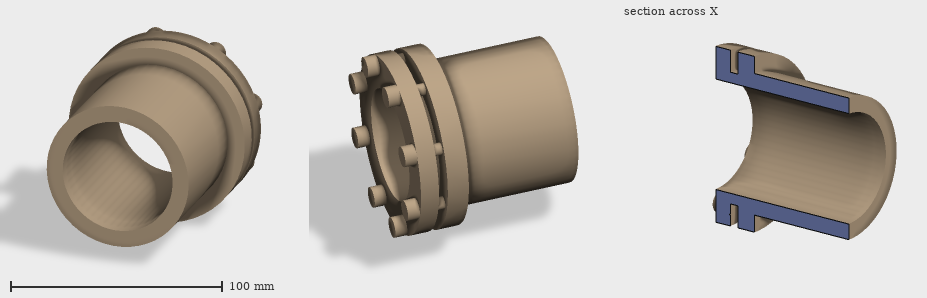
import cadquery as cq

total_length = 88.0
head_height = 6.0
cover_thickness = 9.1
gap_width = 4.4
flange_thickness = 10.6
pipe_length = total_length - head_height - cover_thickness - gap_width - flange_thickness

flange_diameter = 88.0
pipe_diameter = 70.9
gasket_diameter = 66.0
bore_diameter = 54.9

bolt_count = 8
bolt_circle_radius = 39.0
first_bolt_angle = 15.0
stud_diameter = 6.0
head_diameter = 10.0

pipe_end = -total_length / 2
flange_front = pipe_end + pipe_length
flange_back = flange_front + flange_thickness
cover_front = flange_back + gap_width
cover_back = cover_front + cover_thickness
head_end = cover_back + head_height


def plane_at(y):
    """XZ plane at the given Y, facing +Y, with local x along +Z and local y along +X."""
    return cq.Workplane(cq.Plane(origin=(0, y, 0), xDir=(0, 0, 1), normal=(0, 1, 0)))


def disc(diameter, start, end):
    """Solid cylinder on the Y axis between two Y positions."""
    return plane_at(start).circle(diameter / 2).extrude(end - start)


def bolt_ring(diameter, start, end):
    """Cylinders at every bolt position between two Y positions."""
    return (
        plane_at(start)
        .polarArray(bolt_circle_radius, 90 - first_bolt_angle, 360, bolt_count)
        .circle(diameter / 2)
        .extrude(end - start)
    )


body = disc(pipe_diameter, pipe_end, flange_front)
body = body.union(disc(flange_diameter, flange_front, flange_back))
body = body.union(disc(gasket_diameter, flange_back, cover_front))
body = body.union(disc(flange_diameter, cover_front, cover_back))

body = body.union(bolt_ring(stud_diameter, flange_back, cover_front))
body = body.union(bolt_ring(head_diameter, cover_back, head_end))

result = body.cut(disc(bore_diameter, pipe_end, head_end))